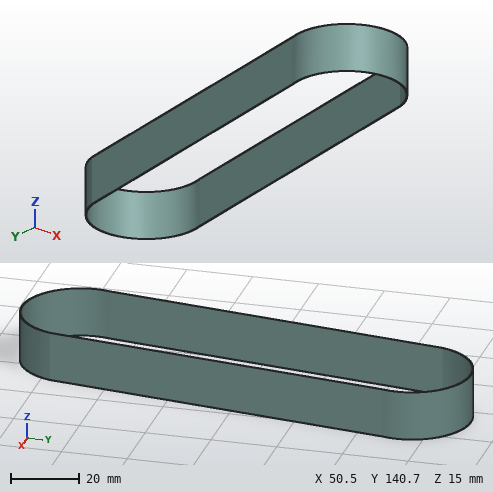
import cadquery as cq
import math

size_x = 50.5
size_y = 140.7
height = 15.0
end_radius = 17.9
wall = 0.3
seam_angle = 14.7

centre_x = size_x / 2 - end_radius
centre_y = size_y / 2 - end_radius


def band_prism(radius):
    """Upright prism with two half-round ends joined by parallel straight sides."""
    cos_seam = math.cos(math.radians(seam_angle))
    sin_seam = math.sin(math.radians(seam_angle))
    seam = cq.Vector(radius * cos_seam, -radius * sin_seam)
    crown = cq.Vector(radius * sin_seam, radius * cos_seam)
    upper = cq.Vector(centre_x, centre_y)
    lower = -upper
    return (
        cq.Workplane("XY")
        .moveTo(*(lower + seam).toTuple()[:2])
        .lineTo(*(upper + seam).toTuple()[:2])
        .threePointArc(upper + crown, upper - seam)
        .lineTo(*(lower - seam).toTuple()[:2])
        .threePointArc(lower - crown, lower + seam)
        .close()
        .extrude(height)
    )


result = band_prism(end_radius).cut(band_prism(end_radius - wall))